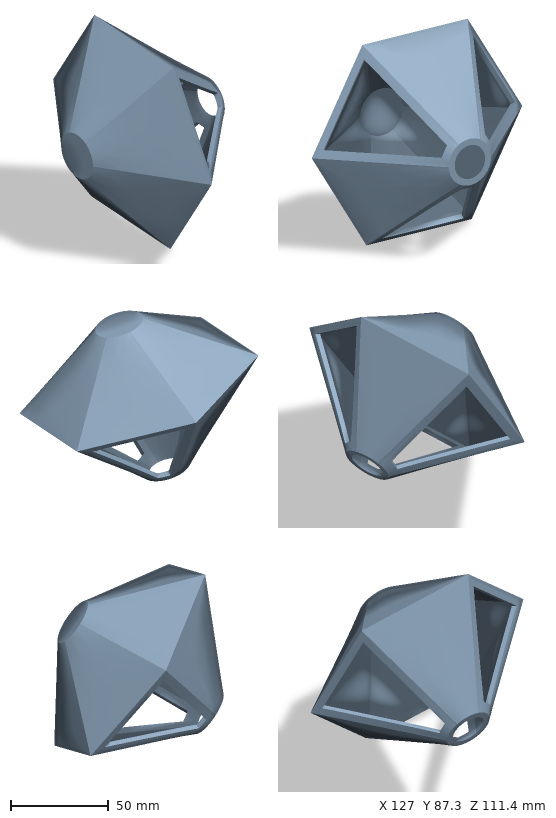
import cadquery as cq
import math

SIDES = 6
TWIST = -1.3
OVERALL_X = 127.0
FRONT_DEPTH = 36.6
BACK_DEPTH = 50.7
DISC_RADIUS = 12.7
WALL = 2.7
WINDOW_BORDERS = {0: (4.0, 5.3, 4.6), 2: (5.0, 6.4, 5.0), 4: (5.0, 5.7, 5.0)}
OVERSHOOT = 1.3

hex_radius = OVERALL_X / 2 / math.cos(math.radians(TWIST))
side_angle = 360 / SIDES
half_side = math.radians(side_angle / 2)
hex_apothem = hex_radius * math.cos(half_side)
rim_apothem = DISC_RADIUS * math.cos(half_side)
face_slant = math.hypot(hex_apothem - rim_apothem, BACK_DEPTH)
radial_wall = WALL * face_slant / BACK_DEPTH


def polar(radius, angle, y):
    """Point at a radius and angle (degrees) around the Y axis."""
    a = math.radians(angle)
    return cq.Vector(radius * math.cos(a), y, radius * math.sin(a))


def corner_angle(index):
    return TWIST + index * side_angle


def hexagon(radius):
    corners = [polar(radius, corner_angle(i), 0) for i in range(SIDES)]
    return cq.Wire.makePolygon(corners, close=True)


def circle(radius, y):
    """Circle split into one arc per hexagon side."""
    arcs = []
    for i in range(SIDES):
        start = corner_angle(i)
        arcs.append(cq.Edge.makeThreePointArc(
            polar(radius, start, y),
            polar(radius, start + side_angle / 2, y),
            polar(radius, start + side_angle, y),
        ))
    return cq.Wire.assembleEdges(arcs)


def double_taper(hex_size, front_radius, front_y, back_radius, back_y):
    """Hexagon blended to a circle on each side along Y."""
    middle = hexagon(hex_size)
    front = cq.Solid.makeLoft([middle, circle(front_radius, front_y)], True)
    back = cq.Solid.makeLoft([middle, circle(back_radius, back_y)], True)
    return cq.Workplane(front).union(cq.Workplane(back))


def make_cavity():
    """Inner space: closed by a floor in front and open at the back."""
    inner_hex = hex_radius - radial_wall / math.cos(half_side)
    inner_rim = DISC_RADIUS - radial_wall
    front_slope = (inner_hex - inner_rim) / FRONT_DEPTH
    floor_radius = inner_rim + front_slope * WALL
    cavity = double_taper(inner_hex, floor_radius, WALL - FRONT_DEPTH, inner_rim, BACK_DEPTH)
    mouth = cq.Workplane("XZ", origin=(0, BACK_DEPTH, 0)).circle(inner_rim).extrude(-OVERSHOOT)
    return cavity.union(mouth)


def make_window(index, base_border, rim_border, side_border):
    """Trapezoid cutter square to a back face, inset from its edges."""
    middle = corner_angle(index) + side_angle / 2
    base = polar(hex_apothem, middle, 0)
    uphill = polar(rim_apothem, middle, BACK_DEPTH) - base
    along = polar(1, middle + 90, 0)
    plane = cq.Plane(origin=base, xDir=along, normal=along.cross(uphill))

    base_half = hex_radius / 2
    lean = (base_half - DISC_RADIUS / 2) / face_slant
    side_inset = side_border * math.hypot(1, lean)
    low = base_border
    high = face_slant - rim_border
    low_half = base_half - side_inset - lean * low
    high_half = base_half - side_inset - lean * high
    outline = [(-low_half, low), (low_half, low), (high_half, high), (-high_half, high)]
    return cq.Workplane(plane).polyline(outline).close().extrude(2 * WALL, both=True)


result = double_taper(hex_radius, DISC_RADIUS, -FRONT_DEPTH, DISC_RADIUS, BACK_DEPTH)
result = result.cut(make_cavity())
for side, borders in WINDOW_BORDERS.items():
    result = result.cut(make_window(side, *borders))